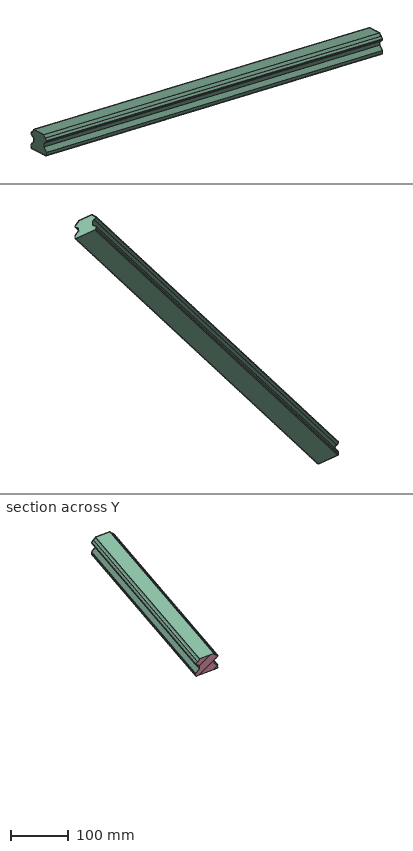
import cadquery as cq

length = 735.0
width = 45.0
height = 38.0

foot_bevel = 1.85
foot_side_top = 7.0

head_side_top = 29.5
head_side_bottom = 28.0
flank_run = 3.8
raceway_depth = 0.95

half_waist = 15.0
waist_top = 20.0

half_width = width / 2
half_lip = half_width - flank_run
half_top = 15.0

upper_lip = head_side_top + flank_run
lower_lip = head_side_bottom - flank_run

waist_bottom = foot_side_top + half_width - half_waist


def half_profile():
    """Closed outline of the +X half of the rail section."""
    foot = (
        cq.Workplane("XZ")
        .lineTo(half_width - foot_bevel, 0)
        .lineTo(half_width, foot_bevel)
        .lineTo(half_width, foot_side_top)
        .lineTo(half_waist, waist_bottom)
        .lineTo(half_waist, waist_top)
    )
    head = (
        foot.sagittaArc((half_lip, lower_lip), raceway_depth)
        .lineTo(half_width, head_side_bottom)
        .lineTo(half_width, head_side_top)
        .lineTo(half_lip, upper_lip)
        .sagittaArc((half_top, height), raceway_depth)
    )
    return head.lineTo(0, height).close()


half_rail = half_profile().extrude(-length)
result = half_rail.union(half_rail.mirror("YZ")).clean()